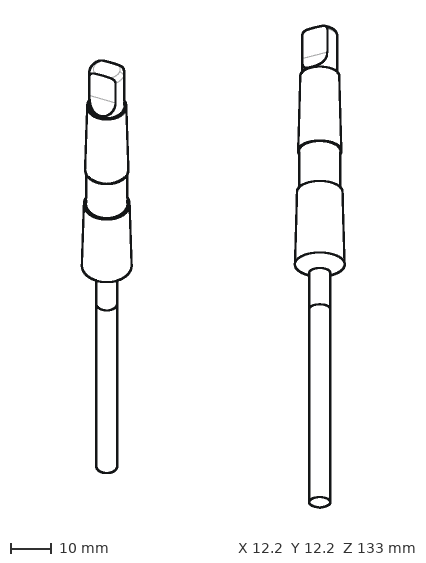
import cadquery as cq
import math

total_length = 133.0
drill_length = 55.3
neck_top = 65.5
taper_bottom = 67.8
recess_bottom = 88.0
recess_top = 99.5
taper_top = 120.4

drill_diameter = 5.2
point_angle = 118.0
drill_radius = drill_diameter / 2
point_height = drill_radius / math.tan(math.radians(point_angle / 2))

taper_diameter = 12.2
taper_ratio = 0.05
recess_diameter = 10.1

tang_diameter = 8.6
tang_thickness = 5.2
tang_turn = -7.0
tang_edge_radius = 1.2
crown_height = 0.5
flat_bottom = 124.9
runout_radius = 5.6


def taper_radius(z):
    """Radius of the shank cone at height z."""
    return (taper_diameter - taper_ratio * (z - taper_bottom)) / 2


def revolve_profile(points):
    """Revolve a half profile of (radius, z) points about Z."""
    return cq.Workplane("XZ").polyline(points).close().revolve(360, (0, 0), (0, 1))


def make_drill():
    """Cylindrical cutting body with a conical point."""
    return revolve_profile([
        (0, 0),
        (drill_radius, point_height),
        (drill_radius, drill_length),
        (0, drill_length),
    ])


def make_shank():
    """Neck, transition cone and taper with a cylindrical recess around its middle."""
    recess_radius = recess_diameter / 2
    return revolve_profile([
        (0, drill_length),
        (drill_radius, drill_length),
        (drill_radius, neck_top),
        (taper_radius(taper_bottom), taper_bottom),
        (taper_radius(recess_bottom), recess_bottom),
        (recess_radius, recess_bottom),
        (recess_radius, recess_top),
        (taper_radius(recess_top), recess_top),
        (taper_radius(taper_top), taper_top),
        (0, taper_top),
    ])


def make_tang():
    """Round stub with a shallow conical end and a rounded top edge."""
    tang_radius = tang_diameter / 2
    stub = revolve_profile([
        (0, taper_top),
        (tang_radius, taper_top),
        (tang_radius, total_length - crown_height),
        (0, total_length),
    ])
    return stub.edges("%CIRCLE").edges(">Z").fillet(tang_edge_radius)


def make_flat_cutter():
    """Material beside the +Y flat, ending below in a concave quarter-round run-out."""
    flat_y = tang_thickness / 2
    outer_y = flat_y + runout_radius
    arc_offset = runout_radius * math.sqrt(0.5)
    return (
        cq.Workplane("YZ")
        .moveTo(flat_y, total_length)
        .lineTo(flat_y, flat_bottom)
        .threePointArc(
            (outer_y - arc_offset, flat_bottom - arc_offset),
            (outer_y, flat_bottom - runout_radius),
        )
        .lineTo(outer_y, total_length)
        .close()
        .extrude(taper_diameter / 2, both=True)
    )


def make_holder():
    """Shank and tang in one piece, with two opposite flats on the tang."""
    holder = make_shank().union(make_tang())
    for side_angle in (0, 180):
        cutter = make_flat_cutter().rotate((0, 0, 0), (0, 0, 1), tang_turn + side_angle)
        holder = holder.cut(cutter)
    return holder


drill = make_drill()
holder = make_holder()

result = cq.Compound.makeCompound([drill.val(), holder.val()])